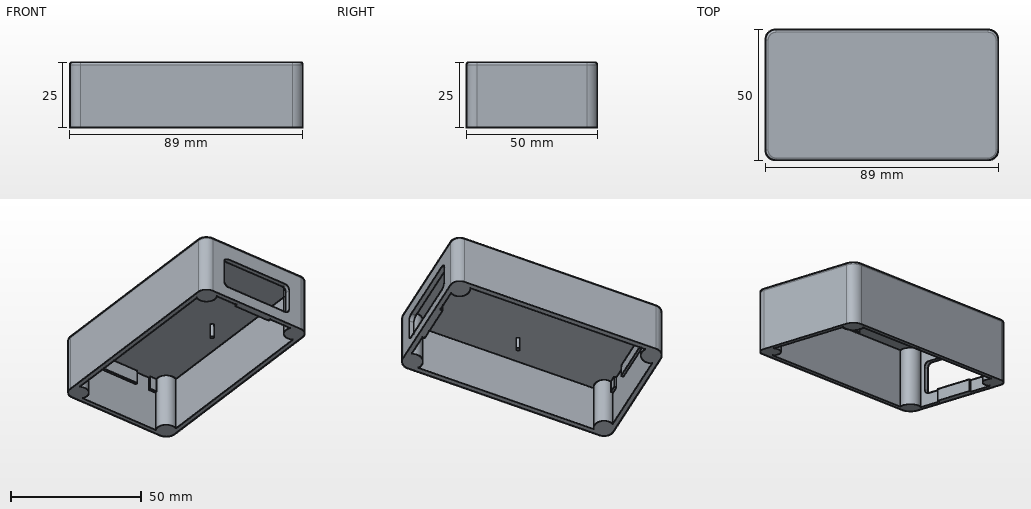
import cadquery as cq

length = 89.0
width = 50.0
height = 25.0
wall = 2.0
corner_radius = 4.0
top_fillet = 1.0

window_width = 31.0
window_height = 13.0
window_bottom = 4.8
window_top = window_bottom + window_height
window_radius = 2.0

post_radius = corner_radius

rib_thickness = 1.0
center_rib_width = 16.0
side_rib_width = 3.0
side_rib_inner_y = 14.2

pin_diameter = 1.5
pin_spacing = 24.6

hanging_overlap = 0.5

ceiling = height - wall
hanging_bottom = window_top - hanging_overlap
inner_end = length / 2 - wall


def centered_box(size_x, size_y, bottom, top, x=0.0, y=0.0):
    """Box centred on (x, y) between two Z levels."""
    box = cq.Workplane("XY").box(size_x, size_y, top - bottom, centered=(True, True, False))
    return box.translate((x, y, bottom))


def outer_block():
    block = centered_box(length, width, 0, height)
    return block.edges("|Z").fillet(corner_radius).faces(">Z").edges().fillet(top_fillet)


def cavity():
    inside = centered_box(length - 2 * wall, width - 2 * wall, 0, ceiling)
    return inside.edges("|Z").fillet(corner_radius - wall)


def corner_posts():
    """Round posts from the open bottom to the ceiling, one in each corner."""
    spacing_x = length - 2 * corner_radius
    spacing_y = width - 2 * corner_radius
    posts = cq.Workplane("XY").rect(spacing_x, spacing_y, forConstruction=True).vertices()
    return posts.circle(post_radius).extrude(ceiling)


def window():
    """Rounded opening through the -X wall and the rib behind it."""
    depth = wall + rib_thickness
    opening = centered_box(depth, window_width, window_bottom, window_top, x=(depth - length) / 2)
    return opening.edges("|X").fillet(window_radius)


def near_end_rib():
    """Thickening of the -X wall below the window."""
    x = -inner_end + rib_thickness / 2
    return centered_box(rib_thickness, center_rib_width, 0, window_bottom, x=x)


def far_end_ribs():
    """One wide rib and two side ribs on the +X wall, hanging from the ceiling."""
    x = inner_end - rib_thickness / 2
    ribs = centered_box(rib_thickness, center_rib_width, hanging_bottom, ceiling, x=x)
    side_y = side_rib_inner_y + side_rib_width / 2
    for side in (-1, 1):
        rib = centered_box(rib_thickness, side_rib_width, hanging_bottom, ceiling, x=x, y=side * side_y)
        ribs = ribs.union(rib)
    return ribs


def ceiling_pins():
    pins = cq.Workplane("XY").workplane(offset=hanging_bottom)
    pins = pins.pushPoints([(0, -pin_spacing / 2), (0, pin_spacing / 2)])
    return pins.circle(pin_diameter / 2).extrude(ceiling - hanging_bottom)


shell = outer_block().cut(cavity())
for feature in (corner_posts(), near_end_rib(), far_end_ribs(), ceiling_pins()):
    shell = shell.union(feature)

result = shell.cut(window())